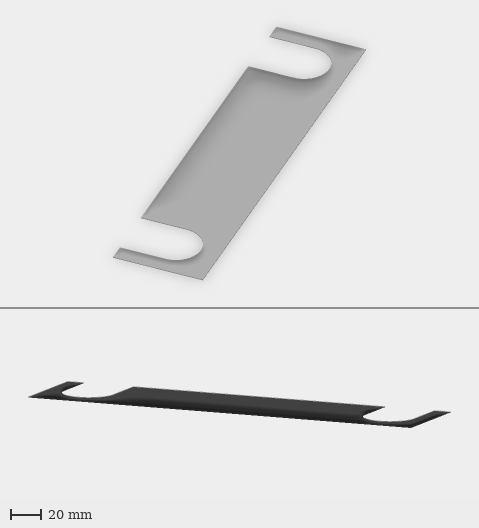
import cadquery as cq

plate_width = 65.0
plate_length = 280.0
plate_thickness = 0.5

slot_width = 36.0
slot_spacing = 220.0
slot_depth = 51.0

slot_radius = slot_width / 2
open_edge_x = -plate_width / 2
slot_end_x = open_edge_x + slot_depth
arc_center_x = slot_end_x - slot_radius


def slot_cutter(center_y):
    """Solid that cuts one open slot through the plate."""
    lower_y = center_y - slot_radius
    upper_y = center_y + slot_radius
    return (
        cq.Workplane("XY")
        .moveTo(open_edge_x, lower_y)
        .lineTo(arc_center_x, lower_y)
        .threePointArc((slot_end_x, center_y), (arc_center_x, upper_y))
        .lineTo(open_edge_x, upper_y)
        .close()
        .extrude(plate_thickness)
    )


result = cq.Workplane("XY").box(
    plate_width, plate_length, plate_thickness, centered=(True, True, False)
)
for side in (-1, 1):
    result = result.cut(slot_cutter(side * slot_spacing / 2))